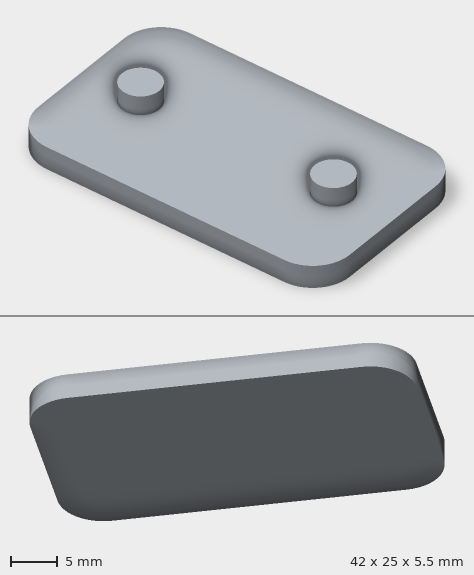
import cadquery as cq

plate_length = 42.0
plate_width = 25.0
plate_thickness = 3.0
corner_radius = 5.0

overall_height = 5.5
peg_height = overall_height - plate_thickness
peg_diameter = 5.0
peg_spacing = 26.0


def make_plate():
    """Flat plate with rounded vertical corners, its underside at Z = 0."""
    plate = cq.Workplane("XY").box(
        plate_length, plate_width, plate_thickness, centered=(True, True, False)
    )
    return plate.edges("|Z").fillet(corner_radius)


def add_pegs(plate):
    """Two round pegs standing on the top face, along the long centre line."""
    return (
        plate.faces(">Z")
        .workplane()
        .pushPoints([(-peg_spacing / 2, 0), (peg_spacing / 2, 0)])
        .circle(peg_diameter / 2)
        .extrude(peg_height)
    )


result = add_pegs(make_plate())